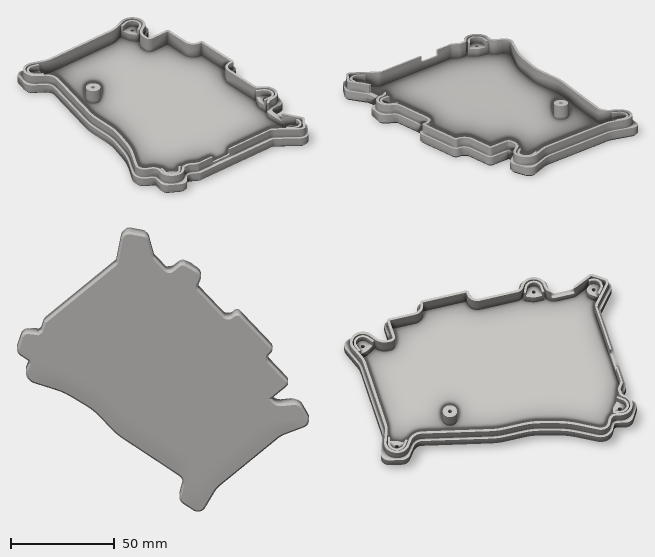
import cadquery as cq
import math


HEIGHT = 9.4
FLANGE_TOP = 5.0
FLOOR_TOP = 1.8
SEAT_TOP = 5.8
FENCE_TOP = 9.0
POST_TOP = 9.0
NOTCH_BOTTOM = 6.2

BOTTOM_CHAMFER = 1.0
LEDGE = 1.3
WALL = 1.3
WALL_RADIUS = 6.24
TOUCHING = 1e-4

SEAT_RADIUS = 6.6 / 2
FENCE_RADIUS = 8.8 / 2
SCREW_RADIUS = 1.9 / 2
POST_RADIUS = 7.0 / 2
POST_CENTRE = (-28.65, -17.88)

LEFT_X = -62.67
RIGHT_X = 57.94
LEFT_MID_Y = 1.68
LEFT_BOSS_X = -58.28
LEFT_BOSS_REACH = 30.63

GAP_LEFT = 37.26
GAP_RIGHT = 48.6
GAP_EDGE_Y = 38.12

RELIEF = 0.4
NOTCH_LOW_Y = -14.6
NOTCH_HIGH_Y = -3.9
NOTCH_FILLET = 0.9

LEG = SEAT_RADIUS
UPPER_LEFT_BOSS = ((LEFT_BOSS_X, LEFT_MID_Y + LEFT_BOSS_REACH), -56, -73, LEG)
UPPER_BOSS = ((29.72, 41.14), -90, -115, LEG)
UPPER_RIGHT_BOSS = ((RIGHT_X, 34.68), -128, 200, 0)
LOWER_RIGHT_BOSS = ((51.26, -36.4), 168, 139, LEG)
LOWER_LEFT_BOSS = ((LEFT_BOSS_X, LEFT_MID_Y - LEFT_BOSS_REACH), 73, 56, LEG)
BOSSES = (UPPER_LEFT_BOSS, UPPER_BOSS, UPPER_RIGHT_BOSS, LOWER_RIGHT_BOSS, LOWER_LEFT_BOSS)

TAB_TOP = 49.705
LEFT_BEND = (LEFT_X, 22.3, 10.5)
UPPER_LEFT_CORNERS = [(-68.02, 37.6, 4.0), (-55.1, 40.68, 4.4)]
TOP_EDGE = [
    (-48.76, 31.66, 4.5),
    (-45.01, 31.66, 0),
    (-45.01, 43.72, 2.5),
    (-26.92, 43.72, 2.8),
    (-26.92, TAB_TOP, 2.8),
    (0.22, TAB_TOP, 2.8),
    (0.22, 43.29, 2.5),
    (22.4, 43.29, 1.8),
]
UPPER_CORNERS = [(25.59, 50.18, 4.5), (GAP_LEFT, 46.69, 3.0)]
RIGHT_BEND_Y = 22.53
LOWER_RIGHT_BEND_Y = -23.78
RIGHT_EDGE = [
    (GAP_LEFT, GAP_EDGE_Y, 2.5),
    (48.12, GAP_EDGE_Y, 1.0),
    (58.54, 43.46, 3.0),
    (68.49, 35.97, 4.0),
    (RIGHT_X, RIGHT_BEND_Y, 1.0),
    (RIGHT_X, LOWER_RIGHT_BEND_Y, 2.0),
    (55.35, -28.0, 0),
    (55.35, -29.98, 0),
]
LOWER_RIGHT_CORNERS = [(60.87, -34.76, 3.5), (54.75, -45.01, 4.0)]
BOTTOM_EDGE = [
    (46.74, -43.03, 1.5),
    (42.21, -51.99, 6.0),
    (23.7, -41.39, 33.0),
    (7.32, -36.83, 30.0),
    (-9.65, -36.83, 30.0),
    (-48.42, -27.83, 4.5),
]


def mirror_left(corners):
    """Mirror corners of the left side, keeping them in clockwise order."""
    return [(x, 2 * LEFT_MID_Y - y, radius) for x, y, radius in reversed(corners)]


def direction(angle):
    """Unit vector at an angle in degrees."""
    return math.cos(math.radians(angle)), math.sin(math.radians(angle))


def tangent_angle(point, centre, radius, side):
    """Angle of the line from a point that passes a circle's centre on the left (+1) or right (-1)."""
    across = centre[0] - point[0]
    up = centre[1] - point[1]
    return math.degrees(math.atan2(up, across) + side * math.asin(radius / math.hypot(across, up)))


def wrap_corners(before, centre, after, radius):
    """Two corners whose roundings join into one arc round a boss, tangent to the neighbours' sides."""
    first = tangent_angle(before, centre, radius, 1) + 90
    last = tangent_angle(after, centre, radius, -1) - 90
    swing = (last - first) % 360 - 360
    reach = radius / math.cos(math.radians(swing / 4))
    corners = []
    for share in (0.25, 0.75):
        dx, dy = direction(first + share * swing)
        corners.append((centre[0] + reach * dx, centre[1] + reach * dy, radius))
    return corners


def headings(corners):
    """Unit direction of the side that leaves each corner."""
    sides = []
    for i, (x, y, _) in enumerate(corners):
        next_x, next_y, _ = corners[(i + 1) % len(corners)]
        length = math.hypot(next_x - x, next_y - y)
        sides.append(((next_x - x) / length, (next_y - y) / length))
    return sides


def inset(corners, distance):
    """Move every side inward, keeping the roundings concentric."""
    sides = headings(corners)
    moved = []
    for i, (x, y, radius) in enumerate(corners):
        (ax, ay), (bx, by) = sides[i - 1], sides[i]
        turn = ax * by - ay * bx
        shift = distance / (1 + ax * bx + ay * by)
        new_radius = max(radius + math.copysign(distance, turn), 0)
        moved.append((x + shift * (ay + by), y - shift * (ax + bx), new_radius))
    return moved


def prism(corners, bottom, top):
    """Solid between two heights over a rounded outline."""
    sides = headings(corners)
    path = None
    for i, (x, y, radius) in enumerate(corners):
        (ax, ay), (bx, by) = sides[i - 1], sides[i]
        bend = math.acos(ax * bx + ay * by)
        tangent = radius * math.tan(bend / 2)
        entry = (x - tangent * ax, y - tangent * ay)
        if path is None:
            path = cq.Workplane("XY").workplane(offset=bottom).moveTo(*entry)
        elif math.dist(entry, end_point) > TOUCHING:
            path = path.lineTo(*entry)
        end_point = entry
        if radius > 0:
            inward = radius * (1 / math.cos(bend / 2) - 1) / math.hypot(bx - ax, by - ay)
            middle = (x + inward * (bx - ax), y + inward * (by - ay))
            end_point = (x + tangent * bx, y + tangent * by)
            path = path.threePointArc(middle, end_point)
    return path.close().extrude(top - bottom)


def cylinder(centre, radius, bottom, top):
    return cq.Workplane("XY").workplane(offset=bottom).center(*centre).circle(radius).extrude(top - bottom)


def box(x_range, y_range, z_range):
    """Box spanning a (low, high) range along each axis."""
    sizes = [high - low for low, high in (x_range, y_range, z_range)]
    corner = (x_range[0], y_range[0], z_range[0])
    return cq.Workplane("XY").box(*sizes, centered=False).translate(corner)


def make_flange():
    left_end = [LEFT_BEND] + UPPER_LEFT_CORNERS
    corners = (
        left_end + TOP_EDGE + UPPER_CORNERS + RIGHT_EDGE
        + LOWER_RIGHT_CORNERS + BOTTOM_EDGE + mirror_left(left_end)
    )
    return prism(corners, 0, FLANGE_TOP).faces("<Z").edges().chamfer(BOTTOM_CHAMFER)


def wall_outline():
    """Outside of the wall: the flange outline moved inward, but round at four of the bosses."""
    corners = [LEFT_BEND]
    for boss, stretch in (
        (UPPER_LEFT_BOSS, TOP_EDGE),
        (UPPER_BOSS, RIGHT_EDGE),
        (LOWER_RIGHT_BOSS, BOTTOM_EDGE),
        (LOWER_LEFT_BOSS, mirror_left([LEFT_BEND])),
    ):
        corners += wrap_corners(corners[-1], boss[0], stretch[0], WALL_RADIUS + LEDGE)
        corners += stretch
    return inset(corners, LEDGE)


def make_tray():
    outer = wall_outline()
    inner = inset(outer, WALL)
    return make_flange().union(prism(outer, FLOOR_TOP, HEIGHT)).cut(prism(inner, FLOOR_TOP, HEIGHT))


def cut_wall_openings(tray):
    above_flange = (FLANGE_TOP, HEIGHT)
    wall_outside = RIGHT_X - LEDGE
    gap_y = (GAP_EDGE_Y - LEDGE - WALL, GAP_EDGE_Y)
    gap = box((GAP_LEFT, GAP_RIGHT), gap_y, above_flange)
    relief_x = (wall_outside - RELIEF, wall_outside)
    relief = box(relief_x, (LOWER_RIGHT_BEND_Y, RIGHT_BEND_Y), above_flange)
    notch_x = (wall_outside - 2 * WALL, RIGHT_X)
    notch = box(notch_x, (NOTCH_LOW_Y, NOTCH_HIGH_Y), (NOTCH_BOTTOM, HEIGHT))
    notch = notch.edges("|X and <Z").fillet(NOTCH_FILLET)
    return tray.cut(gap).cut(relief).cut(notch)


def boss_block(boss, radius, bottom, top):
    """Seat disc joined to a sector of the given radius with straight legs at its ends."""
    centre, end, start, start_leg = boss
    height = top - bottom
    opening = (end - start) % 360
    from_x, from_y = direction(end + 90)
    to_x, to_y = direction(start - 90)
    back_x, back_y = direction(start + opening / 2 + 180)
    block = (
        cq.Workplane("XY")
        .lineTo(radius * from_x, radius * from_y)
        .threePointArc((radius * back_x, radius * back_y), (radius * to_x, radius * to_y))
        .close()
        .extrude(height)
        .union(cylinder((0, 0), SEAT_RADIUS, 0, height))
    )
    for angle, width, length in ((end, radius, LEG), (start, -radius, start_leg)):
        if length > 0:
            leg = cq.Workplane("XY").rect(length, width, centered=False).extrude(height)
            block = block.union(leg.rotate((0, 0, 0), (0, 0, 1), angle))
    return block.translate((*centre, bottom))


def add_boss(tray, boss):
    """Seat with a fence round its outer side and a blind screw hole."""
    tray = tray.union(boss_block(boss, FENCE_RADIUS, FLOOR_TOP, FENCE_TOP))
    tray = tray.cut(boss_block(boss, SEAT_RADIUS, SEAT_TOP, FENCE_TOP))
    return tray.cut(cylinder(boss[0], SCREW_RADIUS, FLOOR_TOP, SEAT_TOP))


def add_post(tray):
    tray = tray.union(cylinder(POST_CENTRE, POST_RADIUS, FLOOR_TOP, POST_TOP))
    return tray.cut(cylinder(POST_CENTRE, SCREW_RADIUS, FLOOR_TOP, POST_TOP))


body = cut_wall_openings(make_tray())
for boss in BOSSES:
    body = add_boss(body, boss)

result = add_post(body)